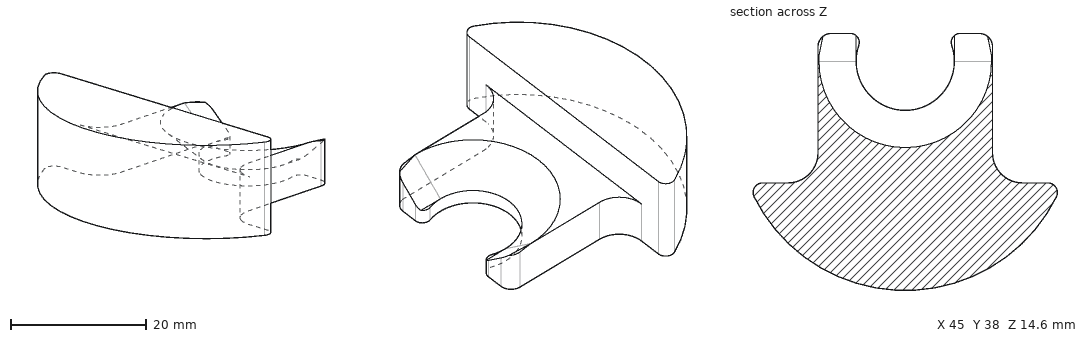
import cadquery as cq
import math


body_length = 45.05
body_height = 14.6
body_back_y = -17.95
body_front_y = -33.9
body_corner_radius = 1.45

fork_height = 7.48
fork_tip_y = 4.15
fork_half_width = 12.93
fork_overlap = 2.25
outer_tip_radius = 2.03
inner_tip_radius = 1.35
root_radius = 4.4
tip_slope_angle = 10.0

bore_radius = 7.25
seat_floor_z = 2.5

selection_margin = 0.45


def make_body():
    """Circular segment whose two rounded corners reach the full body length."""
    corner_x = body_length / 2 - body_corner_radius
    corner_rise = body_back_y - body_corner_radius - body_front_y
    front_radius = (corner_x**2 + corner_rise**2 - body_corner_radius**2) / (
        2 * (corner_rise - body_corner_radius)
    )
    depth = body_back_y - body_front_y
    disc = (
        cq.Workplane("XY")
        .center(0, body_front_y + front_radius)
        .circle(front_radius)
        .extrude(body_height)
    )
    front_half = (
        cq.Workplane("XY")
        .center(0, body_back_y - depth / 2)
        .rect(4 * front_radius, depth)
        .extrude(body_height)
    )
    return disc.intersect(front_half).edges("|Z").fillet(body_corner_radius)


def make_fork():
    """Plate with an open bore, rounded at both corners of each arm tip."""
    fork_start_y = body_back_y - fork_overlap
    fork_length = fork_tip_y - fork_start_y
    plate = (
        cq.Workplane("XY")
        .center(0, fork_start_y + fork_length / 2)
        .rect(2 * fork_half_width, fork_length)
        .extrude(fork_height)
    )
    bore = cq.Workplane("XY").circle(bore_radius).extrude(fork_height)
    plate = plate.cut(bore)
    tip_edges = plate.faces(">Y").edges("|Z")
    plate = tip_edges.edges("<X or >X").fillet(outer_tip_radius)
    return plate.faces(">Y").edges("|Z").edges(inner_tip_edges()).fillet(inner_tip_radius)


def inner_tip_edges():
    """Selector for the two tip edges where the bore breaks out."""
    return cq.selectors.BoxSelector(
        (-bore_radius, 0, 0),
        (bore_radius, fork_tip_y + selection_margin, fork_height),
    )


def make_seat_cutter():
    """Conical seat that runs straight out through the arm tips."""
    cone = (
        cq.Workplane("XZ")
        .moveTo(0, seat_floor_z)
        .lineTo(bore_radius, seat_floor_z)
        .lineTo(fork_half_width, fork_height)
        .lineTo(0, fork_height)
        .close()
        .revolve(360, (0, 0), (0, 1))
    )
    channel = (
        cq.Workplane("XZ")
        .moveTo(-bore_radius, seat_floor_z)
        .lineTo(bore_radius, seat_floor_z)
        .lineTo(fork_half_width, fork_height)
        .lineTo(-fork_half_width, fork_height)
        .close()
        .extrude(-fork_tip_y)
    )
    return cone.union(channel)


def make_tip_slope_cutter():
    """Wedge that lowers the outer rims of the arms towards their tips."""
    drop = fork_tip_y * math.tan(math.radians(tip_slope_angle))
    return (
        cq.Workplane("YZ")
        .moveTo(0, fork_height)
        .lineTo(fork_tip_y, fork_height)
        .lineTo(fork_tip_y, fork_height - drop)
        .close()
        .extrude(fork_half_width, both=True)
    )


def root_edges():
    """Selector for the two upright edges where the fork meets the body."""
    return cq.selectors.BoxSelector(
        (-fork_half_width - selection_margin, body_back_y - selection_margin, 0),
        (fork_half_width + selection_margin, body_back_y + selection_margin, fork_height),
    )


result = make_body().union(make_fork())
result = result.edges("|Z").edges(root_edges()).fillet(root_radius)
result = result.cut(make_seat_cutter()).cut(make_tip_slope_cutter())